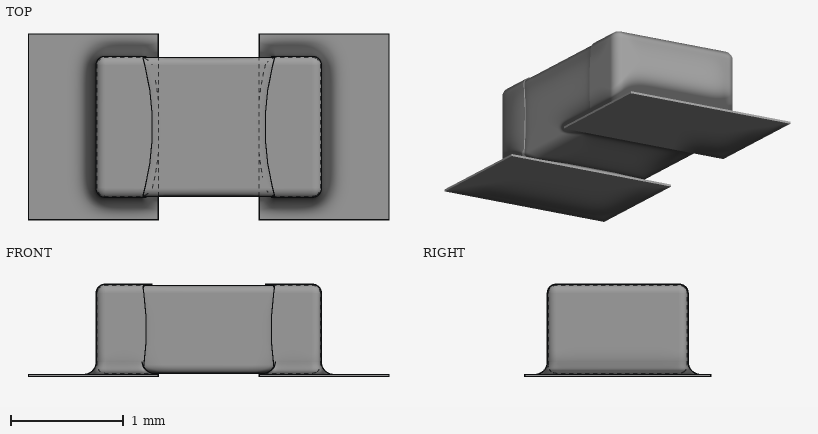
import cadquery as cq

pad_span = 3.2
pad_length = 1.152
pad_width = 1.65
pad_thickness = 0.02

chip_length = 2.0
chip_width = 1.25
chip_height = 0.8
chip_radius = 0.08
plating = 0.01

rim_corner_x = -0.59
top_rim_bulge = 0.09
side_rim_bulge = 0.035
foot_radius = 0.11
stub_corner_radius = 0.003

chip_base = pad_thickness
chip_top = chip_base + chip_height
chip_middle = chip_base + chip_height / 2
chip_end = -chip_length / 2


def make_core():
    """Ceramic core, smaller than the chip by the plating on every side."""
    return (
        cq.Workplane("XY", origin=(0, 0, chip_middle))
        .box(chip_length - 2 * plating, chip_width - 2 * plating, chip_height - 2 * plating)
        .edges()
        .fillet(chip_radius - plating)
    )


def make_width_outline():
    """Plan outline of the end cap at the chip's base, with its bulging inner rim."""
    half_width = chip_width / 2
    return (
        cq.Workplane("XY", origin=(0, 0, chip_base))
        .moveTo(chip_end, -half_width)
        .lineTo(rim_corner_x, -half_width)
        .threePointArc((rim_corner_x + top_rim_bulge, 0), (rim_corner_x, half_width))
        .lineTo(chip_end, half_width)
        .close()
    )


def make_rim_region():
    """Space of the end cap, bounded by bulging rims on the flat and upright faces."""
    across_width = make_width_outline().extrude(chip_height)
    across_height = (
        cq.Workplane("XZ")
        .moveTo(chip_end, chip_base)
        .lineTo(rim_corner_x, chip_base)
        .threePointArc((rim_corner_x + side_rim_bulge, chip_middle), (rim_corner_x, chip_top))
        .lineTo(chip_end, chip_top)
        .close()
        .extrude(chip_width / 2, both=True)
    )
    return across_width.union(across_height)


def make_cap():
    """End cap before it is hollowed, with rounded upright and top edges."""
    rounded_chip = (
        cq.Workplane("XY", origin=(0, 0, chip_middle))
        .box(chip_length, chip_width, chip_height)
        .edges("|Z or >Z")
        .fillet(chip_radius)
    )
    return rounded_chip.intersect(make_rim_region())


def make_pad(height):
    """Block of the given height on the left pad's outline."""
    return (
        cq.Workplane("XY")
        .box(pad_length, pad_width, height, centered=(False, True, False))
        .translate((-pad_span / 2, 0, 0))
    )


def make_footed_pad():
    """Pad with a stub of the cap and the concave solder fillet around its foot."""
    pad = make_pad(pad_thickness)
    plate = pad.union(pad.translate((pad_length / 2, 0, 0)))
    stub = (
        make_width_outline()
        .extrude(chip_height / 2)
        .edges("|Z and <X")
        .fillet(chip_radius)
        .edges("|Z")
        .edges(">X")
        .fillet(stub_corner_radius)
    )
    foot_edges = cq.selectors.BoxSelector(
        (chip_end - plating, -chip_width / 2 - plating, chip_base - plating / 2),
        (0, chip_width / 2 + plating, chip_base + plating / 2),
        boundingbox=True,
    )
    footed_plate = plate.union(stub).edges(foot_edges).fillet(foot_radius)
    return footed_plate.intersect(make_pad(chip_top))


def make_terminal(core):
    """Left terminal: pad, solder foot and end cap, hollowed to fit the core."""
    return make_footed_pad().union(make_cap()).cut(core)


core = make_core()
left_terminal = make_terminal(core)
terminals = []
for mirrored in (False, True):
    terminal = left_terminal.mirror("YZ") if mirrored else left_terminal
    terminals.append(terminal.val())

result = cq.Compound.makeCompound([core.val(), *terminals])